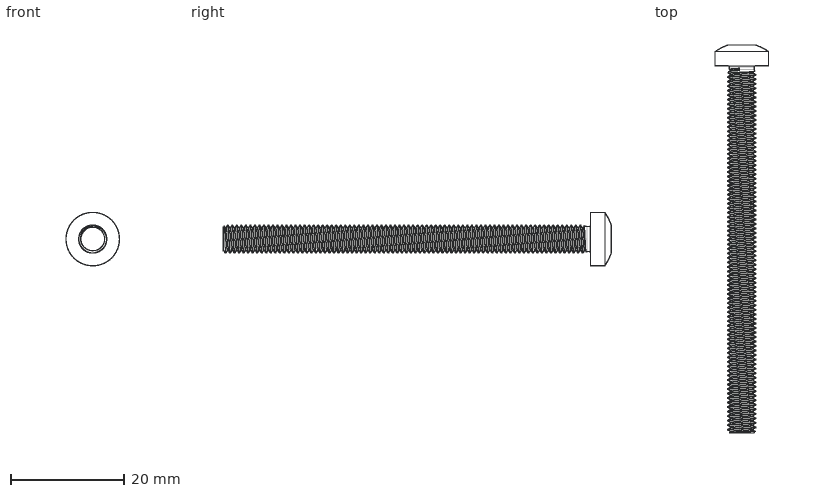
import cadquery as cq
import math


head_radius = 9.5 / 2
head_height = 3.7
dome_radius = 8.0
head_flat_radius = 2.5

shank_length = 65.0
major_radius = 5.0 / 2
neck_length = 0.6
neck_fillet = 0.2
runout_length = 1.0
tip_chamfer = 0.4

pitch = 0.8
flank_slope = math.tan(math.radians(30))
sharp_height = pitch / (2 * flank_slope)
thread_depth = 5 / 8 * sharp_height
root_radius = major_radius - thread_depth
neck_radius = major_radius - 3 / 8 * sharp_height
root_flat = pitch / 4
thread_start_angle = 190
groove_overshoot = sharp_height / 16


def dome_drop(radius):
    """Distance of the spherical dome below its pole at the given radius."""
    return dome_radius - math.sqrt(dome_radius**2 - radius**2)


def make_head():
    """Cylinder topped by a spherical dome that is cut off flat."""
    pole_y = head_height + dome_drop(head_flat_radius)
    rim_y = pole_y - dome_drop(head_radius)
    middle_radius = (head_radius + head_flat_radius) / 2
    middle_y = pole_y - dome_drop(middle_radius)
    return (
        cq.Workplane("XY")
        .lineTo(head_radius, 0)
        .lineTo(head_radius, rim_y)
        .threePointArc((middle_radius, middle_y), (head_flat_radius, head_height))
        .lineTo(0, head_height)
        .close()
        .revolve(360, (0, 0, 0), (0, 1, 0))
    )


def make_shank_blank():
    """Unthreaded shank with a filleted neck, a tapered thread start and a chamfered tip."""
    fillet_reach = neck_fillet * (1 - math.sqrt(0.5))
    return (
        cq.Workplane("XY")
        .lineTo(neck_radius + neck_fillet, 0)
        .threePointArc(
            (neck_radius + fillet_reach, -fillet_reach),
            (neck_radius, -neck_fillet),
        )
        .lineTo(neck_radius, -neck_length)
        .lineTo(major_radius, -neck_length - runout_length)
        .lineTo(major_radius, -shank_length + tip_chamfer)
        .lineTo(major_radius - tip_chamfer, -shank_length)
        .lineTo(0, -shank_length)
        .close()
        .revolve(360, (0, 0, 0), (0, 1, 0))
    )


def make_groove_turn(start_y):
    """Four helical faces that enclose one turn of the groove, and its four edge helices."""
    outer_radius = major_radius + groove_overshoot
    root_half = root_flat / 2
    outer_half = root_half + (outer_radius - root_radius) * flank_slope
    corners = [
        (root_radius, root_half),
        (outer_radius, outer_half),
        (outer_radius, -outer_half),
        (root_radius, -root_half),
    ]
    tip_direction = cq.Vector(0, -1, 0)
    helices = []
    for radius, offset in corners:
        center = cq.Vector(0, start_y + offset, 0)
        helix = cq.Wire.makeHelix(pitch, pitch, radius, center, tip_direction)
        helices.append(helix.rotate(cq.Vector(), tip_direction, thread_start_angle))
    neighbours = helices[1:] + helices[:1]
    faces = [cq.Face.makeRuledSurface(one, other) for one, other in zip(helices, neighbours)]
    return faces, helices


def make_end_cap(points):
    """Flat face that closes one end of the groove."""
    return cq.Face.makeFromWires(cq.Wire.makePolygon(points, close=True))


def make_thread_groove():
    """Right-handed helical groove, built turn by turn, from the neck to beyond the tip."""
    turn_count = math.ceil((shank_length - neck_length) / pitch) + 1
    faces = []
    for turn in range(turn_count):
        turn_faces, helices = make_groove_turn(-neck_length - turn * pitch)
        faces += turn_faces
        if turn == 0:
            faces.append(make_end_cap([helix.startPoint() for helix in helices]))
    faces.append(make_end_cap([helix.endPoint() for helix in helices]))
    return cq.Workplane(cq.Solid.makeSolid(cq.Shell.makeShell(faces)))


shank = make_shank_blank().cut(make_thread_groove(), clean=False)
result = make_head().union(shank, clean=False).solids()